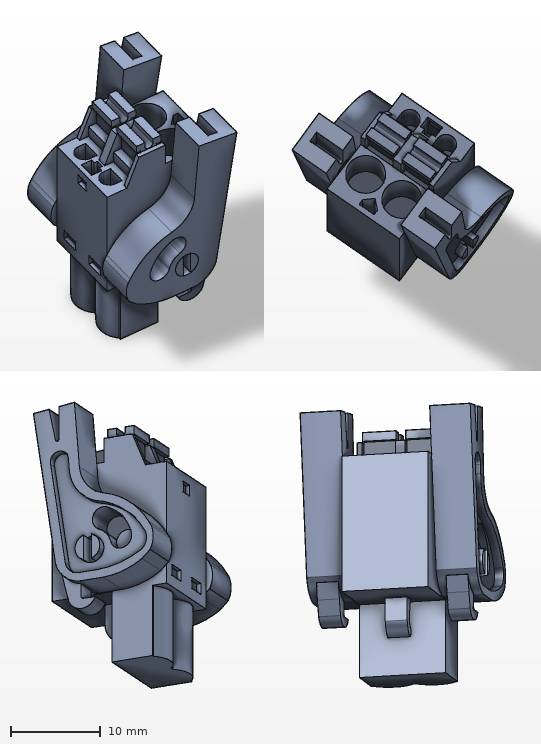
import cadquery as cq
import math


pole_pitch = 5.0
pole_offsets = (-pole_pitch / 2, pole_pitch / 2)
housing_width = 2 * pole_pitch
housing_left = -housing_width / 2
housing_depth = 14.25
housing_front = -housing_depth
housing_bottom = 8.3
rear_top = 23.73
front_top = 22.67
ridge_top = 26.57
ridge_back = -6.45
ridge_front = -9.98
slope_foot = -11.6

plug_back = -7.45
plug_shoulder = -12.5
plug_front = -13.5
plug_lobe_width = 4.5

top_hole_depth = 5.9
screw_hole_radius = 2.2
screw_hole_y = -3.9
wire_hole_width = 2.33
wire_hole_back = -11.35
wire_hole_arc_y = -12.28

key_width = 2.05
rear_key_back = -0.65
rear_key_shoulder = -1.3
rear_key_tip = -2.25
front_key_front = -13.67
front_key_shoulder = -12.3
front_key_stem_width = 0.97
front_key_stem_back = -11.87

window_depth = 0.53
lower_window_width = 2.27
lower_window_height = 1.27
lower_window_z = 10.27
upper_window_width = 1.62
upper_window_height = 1.25
upper_window_z = 21.0

latch_width = 2.55

overall_width = 19.7
lever_width = 4.7
lever_positions = (-overall_width / 2, overall_width / 2 - lever_width)
lever_bottom = 8.32
recess_depth = 1.03
recess_bottom = 9.33
marker_slot_length = 3.63
marker_slot_front = -3.25
marker_slot_floor = 25.27
slot_clear_z = 31.0
hook_width = 2.55
hook_ledge_z = 6.6
hook_root_z = 10.13
guide_slot_swing = 53.0

pivot_y = -6.8
pivot_z = 12.22
pivot_radius = 1.54
pivot_length = housing_left + overall_width / 2
pivot_groove_width = 1.0
pivot_groove_depth = 2.07
guide_y = -10.45
guide_z = 13.17
guide_radius = 1.33
guide_length = 2.2

button_width = 3.87
button_top = 27.75
button_head_bottom = 26.75
button_head_back = -6.65
button_head_front = -9.92
button_neck_back = -7.23
button_neck_front = -9.35
button_step_top = 24.15
button_step_front = -10.42
button_groove_y = -8.27
button_groove_width = 1.05
button_groove_floor = 26.63


def block(x_center, width, y_min, y_max, z_min, z_max):
    """Axis-aligned block, centred on x_center."""
    solid = cq.Workplane("XY").box(width, y_max - y_min, z_max - z_min, centered=False)
    return solid.translate((x_center - width / 2, y_min, z_min))


def side_plane(x):
    """Sketch plane facing +X, whose local axes are Y and Z."""
    return cq.Workplane("YZ", origin=(x, 0, 0))


def level_plane(z):
    """Sketch plane facing +Z."""
    return cq.Workplane("XY", origin=(0, 0, z))


def housing_block():
    outline = [
        (0, housing_bottom),
        (0, rear_top),
        (ridge_back, rear_top),
        (ridge_back, ridge_top),
        (ridge_front, ridge_top),
        (slope_foot, front_top),
        (housing_front, front_top),
        (housing_front, housing_bottom),
    ]
    return side_plane(housing_left).polyline(outline).close().extrude(housing_width)


def plug():
    body = block(0, housing_width, plug_shoulder, plug_back, 0, housing_bottom)
    half_lobe = plug_lobe_width / 2
    for x in pole_offsets:
        lobe = (
            level_plane(0)
            .moveTo(x - half_lobe, plug_shoulder)
            .threePointArc((x, plug_front), (x + half_lobe, plug_shoulder))
            .close()
            .extrude(housing_bottom)
        )
        body = body.union(lobe)
    return body


def latch():
    """Curved tongue below the housing, with a rounded nose at its lower end."""
    return (
        side_plane(-latch_width / 2)
        .moveTo(-6.25, housing_bottom)
        .threePointArc((-5.87, 7.23), (-5.75, 5.9))
        .lineTo(-5.85, 5.4)
        .lineTo(-6.1, 5.15)
        .threePointArc((-6.35, 4.58), (-5.85, 3.99))
        .threePointArc((-5.1, 4.72), (-4.75, 5.67))
        .lineTo(-4.75, housing_bottom)
        .close()
        .extrude(latch_width)
    )


def left_pins():
    """Pivot pin with a round-bottomed groove across its end, and the shorter guide pin."""
    pivot_end = housing_left - pivot_length
    pivot = side_plane(pivot_end).center(pivot_y, pivot_z).circle(pivot_radius).extrude(pivot_length)
    groove_radius = pivot_groove_width / 2
    straight_depth = pivot_groove_depth - groove_radius
    groove = (
        level_plane(pivot_z - pivot_radius)
        .moveTo(pivot_end, pivot_y - groove_radius)
        .lineTo(pivot_end + straight_depth, pivot_y - groove_radius)
        .threePointArc(
            (pivot_end + pivot_groove_depth, pivot_y),
            (pivot_end + straight_depth, pivot_y + groove_radius),
        )
        .lineTo(pivot_end, pivot_y + groove_radius)
        .close()
        .extrude(2 * pivot_radius)
    )
    guide_end = housing_left - guide_length
    guide = side_plane(guide_end).center(guide_y, guide_z).circle(guide_radius).extrude(guide_length)
    return pivot.cut(groove).union(guide)


def screw_hole(x):
    floor = rear_top - top_hole_depth
    return level_plane(floor).center(x, screw_hole_y).circle(screw_hole_radius).extrude(top_hole_depth)


def wire_hole(x):
    radius = wire_hole_width / 2
    return (
        level_plane(front_top - top_hole_depth)
        .moveTo(x - radius, wire_hole_arc_y)
        .lineTo(x - radius, wire_hole_back)
        .lineTo(x + radius, wire_hole_back)
        .lineTo(x + radius, wire_hole_arc_y)
        .threePointArc((x, wire_hole_arc_y - radius), (x - radius, wire_hole_arc_y))
        .close()
        .extrude(top_hole_depth)
    )


def rear_key_opening():
    half = key_width / 2
    outline = [
        (-half, rear_key_back),
        (half, rear_key_back),
        (half, rear_key_shoulder),
        (0, rear_key_tip),
        (-half, rear_key_shoulder),
    ]
    return level_plane(rear_top - top_hole_depth).polyline(outline).close().extrude(top_hole_depth)


def front_key_opening():
    floor = front_top - top_hole_depth
    head = block(0, key_width, front_key_front, front_key_shoulder, floor, front_top)
    stem = block(0, front_key_stem_width, front_key_shoulder, front_key_stem_back, floor, front_top)
    return head.union(stem)


def front_window(x, z, width, height):
    return block(x, width, housing_front, housing_front + window_depth, z - height / 2, z + height / 2)


def button_pocket(x):
    """Pocket through the ridge, from its back to the foot of its slope."""
    return block(x, button_width, slope_foot, ridge_back, front_top, ridge_top)


def make_housing():
    pins = left_pins()
    body = housing_block().union(plug()).union(latch()).union(pins).union(pins.mirror("YZ"))
    for x in pole_offsets:
        body = body.cut(button_pocket(x))
        body = body.cut(screw_hole(x))
        body = body.cut(wire_hole(x))
        body = body.cut(front_window(x, lower_window_z, lower_window_width, lower_window_height))
    body = body.cut(rear_key_opening()).cut(front_key_opening())
    return body.cut(front_window(0, upper_window_z, upper_window_width, upper_window_height))


def lever_blank():
    """Straight handle that widens into a rounded cam at the bottom."""
    return (
        side_plane(0)
        .moveTo(-0.05, 28.95)
        .lineTo(-5.17, 29.52)
        .lineTo(-5.8, 21.82)
        .threePointArc((-6.8, 19.48), (-8.83, 18.27))
        .threePointArc((-11.99, 16.77), (-14.4, 14.05))
        .lineTo(-14.7, 13.55)
        .threePointArc((-14.97, 12.15), (-14.58, 10.72))
        .lineTo(-13.58, 9.8)
        .threePointArc((-11.3, 8.75), (-8.77, lever_bottom))
        .lineTo(-5.9, lever_bottom)
        .threePointArc((-3.75, 9.25), (-2.83, 10.75))
        .close()
        .extrude(lever_width)
    )


def lever_recess():
    """Shallow recess that leaves a rim along the lever outline."""
    return (
        side_plane(0)
        .moveTo(-2.2, 22.6)
        .threePointArc((-3.25, 24.03), (-4.43, 22.88))
        .lineTo(-4.52, 21.85)
        .threePointArc((-5.55, 19.07), (-7.68, 17.55))
        .threePointArc((-11.37, 15.95), (-13.93, 13.05))
        .threePointArc((-14.08, 11.8), (-13.35, 10.8))
        .threePointArc((-10.92, 9.77), (-8.1, recess_bottom))
        .lineTo(-5.73, recess_bottom)
        .threePointArc((-4.5, 9.85), (-4.0, 10.8))
        .close()
        .extrude(recess_depth)
    )


def guide_slot():
    """Slot along an arc about the pivot, with the guide pin at its lower end."""
    swing_radius = math.hypot(guide_y - pivot_y, guide_z - pivot_z)
    inner = swing_radius - guide_radius
    outer = swing_radius + guide_radius
    low = math.atan2(guide_z - pivot_z, guide_y - pivot_y)
    high = low - math.radians(guide_slot_swing)
    middle = (low + high) / 2

    def around_pivot(radius, angle):
        return pivot_y + radius * math.cos(angle), pivot_z + radius * math.sin(angle)

    def end_tip(angle, direction):
        """Outermost point of the round slot end centred at the given angle."""
        y, z = around_pivot(swing_radius, angle)
        return y + guide_radius * math.cos(direction), z + guide_radius * math.sin(direction)

    return (
        side_plane(0)
        .moveTo(*around_pivot(outer, low))
        .threePointArc(around_pivot(outer, middle), around_pivot(outer, high))
        .threePointArc(end_tip(high, high - math.pi / 2), around_pivot(inner, high))
        .threePointArc(around_pivot(inner, middle), around_pivot(inner, low))
        .threePointArc(end_tip(low, low + math.pi / 2), around_pivot(outer, low))
        .close()
        .extrude(lever_width)
    )


def marker_slot():
    """Tapered slot in the handle end, open at the top and at the left face."""
    return (
        side_plane(0)
        .moveTo(marker_slot_front, slot_clear_z)
        .lineTo(-1.62, slot_clear_z)
        .lineTo(-2.8, 25.45)
        .threePointArc((-3.0, marker_slot_floor), (marker_slot_front, 25.45))
        .close()
        .extrude(marker_slot_length)
    )


def pivot_hole():
    return side_plane(0).center(pivot_y, pivot_z).circle(pivot_radius).extrude(lever_width)


def hook():
    """Locking hook that hangs below the cam."""
    return (
        side_plane((lever_width - hook_width) / 2)
        .moveTo(-3.0, hook_root_z)
        .lineTo(-3.48, 8.25)
        .lineTo(-3.95, 6.45)
        .threePointArc((-5.45, 5.45), (-7.23, hook_ledge_z))
        .lineTo(-5.73, hook_ledge_z)
        .lineTo(-5.45, 6.8)
        .lineTo(-5.45, hook_root_z)
        .close()
        .extrude(hook_width)
    )


def make_lever(x):
    body = lever_blank().union(hook())
    for opening in (lever_recess(), guide_slot(), marker_slot(), pivot_hole()):
        body = body.cut(opening)
    return body.translate((x, 0, 0))


def make_button(x):
    """Button with a wider head, a step at its foot and a screwdriver groove along its top."""
    groove_radius = button_groove_width / 2
    groove_axis_z = button_groove_floor + groove_radius
    groove_back = button_groove_y + groove_radius
    groove_front = button_groove_y - groove_radius
    return (
        side_plane(x - button_width / 2)
        .moveTo(button_neck_back, front_top)
        .lineTo(button_neck_back, button_head_bottom)
        .lineTo(button_head_back, button_head_bottom)
        .lineTo(button_head_back, button_top)
        .lineTo(groove_back, button_top)
        .lineTo(groove_back, groove_axis_z)
        .threePointArc((button_groove_y, button_groove_floor), (groove_front, groove_axis_z))
        .lineTo(groove_front, button_top)
        .lineTo(button_head_front, button_top)
        .lineTo(button_head_front, button_head_bottom)
        .lineTo(button_neck_front, button_head_bottom)
        .lineTo(button_neck_front, button_step_top)
        .lineTo(button_step_front, button_step_top)
        .lineTo(button_step_front, front_top)
        .close()
        .extrude(button_width)
    )


housing = make_housing()
levers = [make_lever(x) for x in lever_positions]
buttons = [make_button(x) for x in pole_offsets]

result = cq.Compound.makeCompound([
    housing.solids().val(),
    *[lever.solids().val() for lever in levers],
    *[button.solids().val() for button in buttons],
])